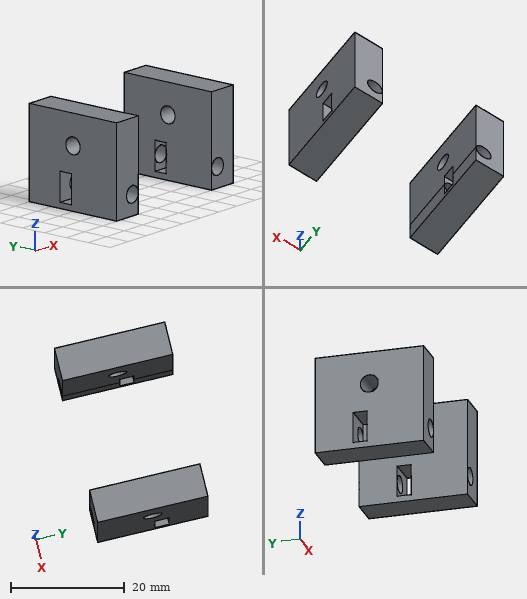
import cadquery as cq

overall_width = 32.2
block_width = 6.0
block_depth = 20.0
block_height = 18.0

bolt_diameter = 3.22
bolt_wall = 0.03
bolt_height = 4.0

cross_diameter = 3.3
cross_height = 12.0

slot_depth = 2.58
slot_height = 5.7
slot_y = 1.67

block_offset = (overall_width - block_width) / 2
bolt_offset = overall_width / 2 - block_width + bolt_wall + bolt_diameter / 2


def bolt_hole(side):
    return (
        cq.Workplane("XZ", origin=(side * bolt_offset, block_depth / 2, bolt_height))
        .circle(bolt_diameter / 2)
        .extrude(block_depth)
    )


def cross_hole(side):
    return (
        cq.Workplane("YZ", origin=(side * block_offset, 0, cross_height))
        .circle(cross_diameter / 2)
        .extrude(block_width / 2, both=True)
    )


def nut_slot(side):
    return cq.Workplane("XY", origin=(side * block_offset, slot_y, bolt_height)).box(
        block_width, slot_depth, slot_height
    )


def clamp_block(side):
    """One block; side is -1 or +1 along X, with the bolt hole toward the middle."""
    block = cq.Workplane("XY", origin=(side * block_offset, 0, 0)).box(
        block_width, block_depth, block_height, centered=(True, True, False)
    )
    return block.cut(bolt_hole(side)).cut(cross_hole(side)).cut(nut_slot(side))


clamp_blocks = [clamp_block(side).val() for side in (-1, 1)]

result = cq.Compound.makeCompound(clamp_blocks)